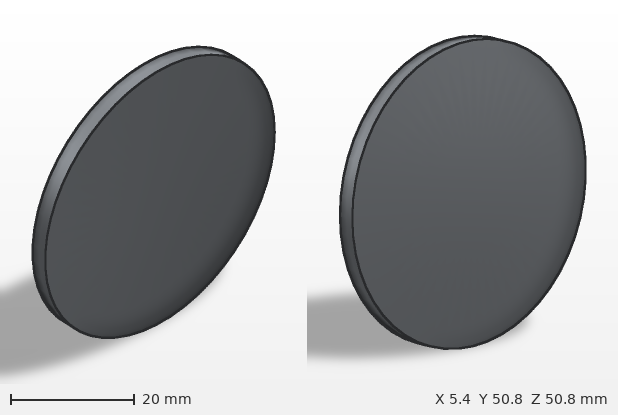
import cadquery as cq

diameter = 50.8
centre_thickness = 5.4
edge_thickness = 3.0

radius = diameter / 2
half_centre = centre_thickness / 2
half_edge = edge_thickness / 2

sagitta = half_centre - half_edge
sphere_radius = (radius**2 + sagitta**2) / (2 * sagitta)

mid_arc_y = radius / 2
mid_arc_x = half_centre - sphere_radius + (sphere_radius**2 - mid_arc_y**2) ** 0.5

result = (
    cq.Workplane("XY")
    .moveTo(-half_centre, 0)
    .threePointArc((-mid_arc_x, mid_arc_y), (-half_edge, radius))
    .lineTo(half_edge, radius)
    .threePointArc((mid_arc_x, mid_arc_y), (half_centre, 0))
    .close()
    .revolve(360, (0, 0, 0), (1, 0, 0))
)